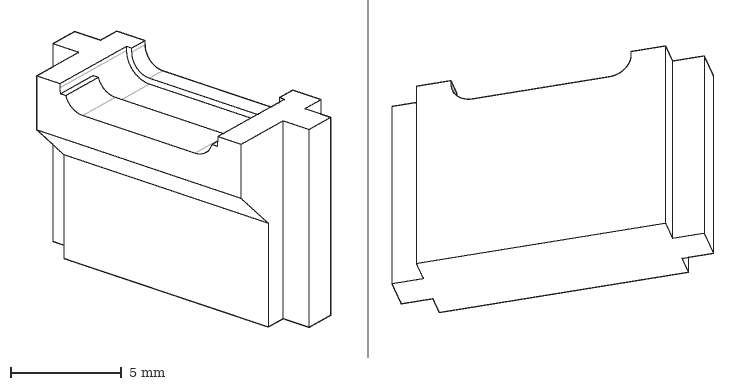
import cadquery as cq

length = 14.6
depth = 5.9
height = 9.9

body_length = 11.65
foot_depth = 3.9
head_height = 2.7
overhang = depth - foot_depth

rail_thickness = 1.6
rail_setback = 1.2

trough_flat_length = 6.4
trough_radius = 1.01
trough_center_drop = 0.2

recess_step = 0.29
recess_start = 1.0
recess_end = 3.5

shoulder_depth = 0.5


def make_body():
    """Foot and overhanging head, as one side outline extruded along X."""
    slope_top = height - head_height
    return (
        cq.Workplane("YZ")
        .moveTo(0, 0)
        .lineTo(0, height)
        .lineTo(-depth, height)
        .lineTo(-depth, slope_top)
        .lineTo(-foot_depth, slope_top - overhang)
        .lineTo(-foot_depth, 0)
        .close()
        .extrude(body_length / 2, both=True)
    )


def make_rails():
    """One bar through the body whose ends form both guide rails."""
    return (
        cq.Workplane("XY")
        .center(0, -rail_setback - rail_thickness / 2)
        .rect(length, rail_thickness)
        .extrude(height)
    )


def make_trough(radius, start, end):
    """Trough cutter between two distances from the back face."""
    center_z = height - trough_center_drop
    half_flat = trough_flat_length / 2
    half_width = half_flat + radius
    return (
        cq.Workplane("XZ", origin=(0, -start, 0))
        .moveTo(-half_width, height)
        .lineTo(-half_width, center_z)
        .radiusArc((-half_flat, center_z - radius), -radius)
        .lineTo(half_flat, center_z - radius)
        .radiusArc((half_width, center_z), -radius)
        .lineTo(half_width, height)
        .close()
        .extrude(end - start)
    )


def make_shoulders():
    """Upper slice of the wide trough, from the recess to the front face."""
    slice_box = (
        cq.Workplane("XY", origin=(0, -depth / 2, height - shoulder_depth))
        .rect(length, depth)
        .extrude(shoulder_depth)
    )
    return make_trough(recess_radius, recess_end, depth).intersect(slice_box)


recess_radius = trough_radius + recess_step

result = (
    make_body()
    .union(make_rails())
    .cut(make_trough(trough_radius, 0, depth))
    .cut(make_trough(recess_radius, recess_start, recess_end))
    .cut(make_shoulders())
)